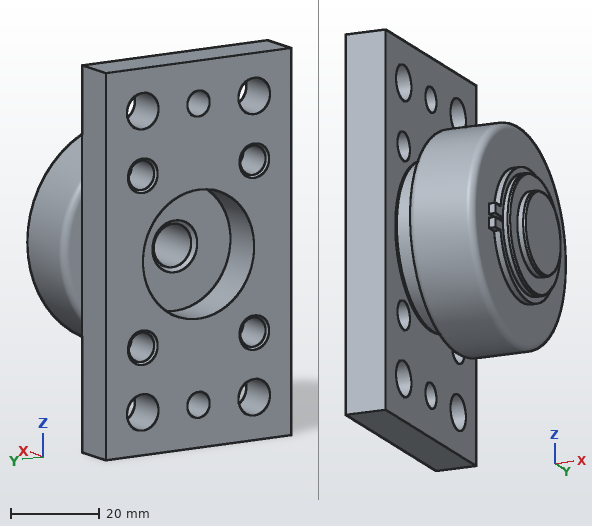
import cadquery as cq

plate_height = 90.0
plate_width = plate_height * 5 / 9
plate_thickness = plate_height / 9
bore_diameter = plate_height / 3

hole_y = 15.0
bolt_hole_z = 35.0
bolt_hole_diameter = 8.5
dowel_hole_diameter = 6.0
tapped_hole_z = 20.0
tapped_hole_diameter = 6.8
tapped_hole_mouth = 8.0

roller_start = 16.0
roller_end = 32.4
ring_start = 32.7
ring_end = 34.3
hub_end = 36.0
stub_end = 38.0

flange_radius = plate_height * 2 / 9
roller_radius = 52.5 / 2
hub_radius = 14.1
stub_radius = 9.9
roller_edge_radius = 1.7
shaft_edge_bevel = 0.5
shaft_edge_depth = 0.3

ring_radius = 15.7
lug_reach = 18.2
lug_gap = 0.9
lug_width = 2.4

centre_hole_diameter = 10.1
centre_hole_mouth = 12.1
centre_hole_depth = 17.0


def disc(start, end, radius):
    """Cylinder about the X axis between two axial positions."""
    return cq.Workplane("YZ", origin=(start, 0, 0)).circle(radius).extrude(end - start)


def bevelled_disc(start, end, radius, bevel_at_start=False):
    """Disc with one slightly bevelled rim: short radially, longer axially."""
    rim = radius - shaft_edge_depth
    if bevel_at_start:
        profile = [(start, 0), (start, rim), (start + shaft_edge_bevel, radius), (end, radius), (end, 0)]
    else:
        profile = [(start, 0), (start, radius), (end - shaft_edge_bevel, radius), (end, rim), (end, 0)]
    return cq.Workplane("XY").polyline(profile).close().revolve(360, (0, 0, 0), (1, 0, 0))


def drill(body, points, diameter):
    """Cut straight holes through the plate at (Y, Z) points."""
    cutter = cq.Workplane("YZ").pushPoints(points).circle(diameter / 2).extrude(plate_thickness)
    return body.cut(cutter)


def corner_points(z):
    return [(y, side * z) for y in (-hole_y, hole_y) for side in (-1, 1)]


def make_plate():
    plate = cq.Workplane("XY").box(plate_thickness, plate_width, plate_height, centered=(False, True, True))
    plate = drill(plate, [(0, 0)], bore_diameter)
    plate = drill(plate, corner_points(bolt_hole_z), bolt_hole_diameter)
    plate = drill(plate, [(0, -bolt_hole_z), (0, bolt_hole_z)], dowel_hole_diameter)

    plate = drill(plate, corner_points(tapped_hole_z), tapped_hole_diameter)
    countersink = (tapped_hole_mouth - tapped_hole_diameter) / 2
    for y, z in corner_points(tapped_hole_z):
        cone = cq.Solid.makeCone(
            tapped_hole_mouth / 2, tapped_hole_diameter / 2, countersink,
            cq.Vector(0, y, z), cq.Vector(1, 0, 0),
        )
        plate = plate.cut(cq.Workplane(cone))
    return plate


def make_retaining_ring():
    """Ring with two square lugs pointing to -Y."""
    ring = disc(ring_start, ring_end, ring_radius)
    for side in (-1, 1):
        lug = cq.Workplane("XY").box(
            ring_end - ring_start, lug_reach - hub_radius, lug_width, centered=(False, False, True)
        )
        ring = ring.union(lug.translate((ring_start, -lug_reach, side * (lug_gap + lug_width) / 2)))
    split = cq.Workplane("XY").box(
        ring_end - ring_start, lug_reach - hub_radius, lug_gap, centered=(False, False, True)
    )
    return ring.cut(split.translate((ring_start, -lug_reach, 0)))


def make_roller():
    """Roller with its flange, retaining ring and stepped shaft end."""
    roller = disc(roller_start, roller_end, roller_radius).edges().fillet(roller_edge_radius)
    roller = roller.union(bevelled_disc(plate_thickness, roller_start, flange_radius, bevel_at_start=True))
    roller = roller.union(bevelled_disc(roller_end, hub_end, hub_radius))
    roller = roller.union(bevelled_disc(hub_end, stub_end, stub_radius))
    roller = roller.union(make_retaining_ring())

    roller = roller.cut(disc(plate_thickness, plate_thickness + centre_hole_depth, centre_hole_diameter / 2))
    mouth_bevel = (centre_hole_mouth - centre_hole_diameter) / 2
    mouth = cq.Solid.makeCone(
        centre_hole_mouth / 2, centre_hole_diameter / 2, mouth_bevel,
        cq.Vector(plate_thickness, 0, 0), cq.Vector(1, 0, 0),
    )
    return roller.cut(cq.Workplane(mouth))


plate = make_plate()
roller = make_roller()
result = cq.Compound.makeCompound([plate.val(), roller.val()])